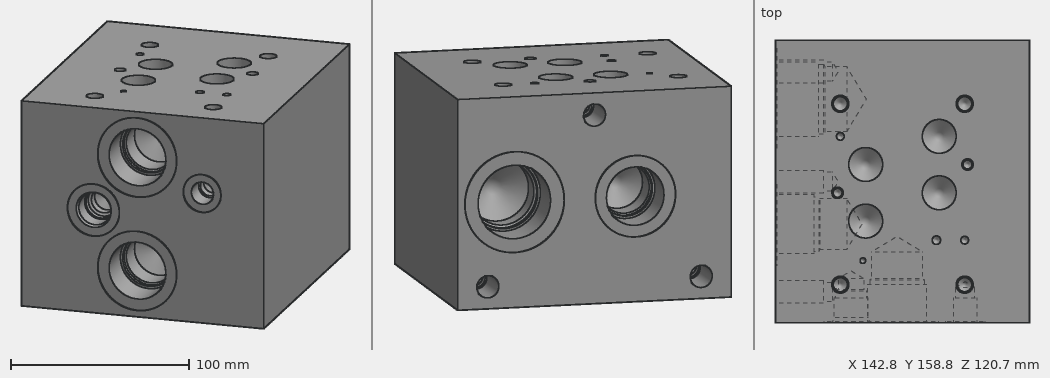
import cadquery as cq
import math

LENGTH_X = 142.85
WIDTH_Y = 158.75
HEIGHT_Z = 120.65
MID_Z = HEIGHT_Z / 2

DRILL_POINT_ANGLE = 118.0
SPOTFACE_DEPTH = 0.8

INTO_FRONT = cq.Vector(0, 1, 0)
INTO_LEFT = cq.Vector(1, 0, 0)
INTO_TOP = cq.Vector(0, 0, -1)

THREAD_LEAD_IN_ANGLE = 36.0
LARGE_PORT = dict(
    spotface=57.66,
    bores=[(42.06, 24.0), (39.29, 27.0, DRILL_POINT_ANGLE), (36.52, 40.0)],
)
MEDIUM_PORT = dict(
    spotface=46.56,
    bores=[(33.4, 21.5), (30.63, 24.3, DRILL_POINT_ANGLE), (28.57, 40.0)],
)
Y_PORT = dict(
    spotface=30.63,
    bores=[
        (20.6, SPOTFACE_DEPTH, THREAD_LEAD_IN_ANGLE),
        (19.05, 14.0),
        (17.5, 18.0, DRILL_POINT_ANGLE),
        (14.3, 25.0),
    ],
)
X_PORT = dict(spotface=22.2, bores=[(13.0, 14.0), (10.72, 20.0)])

AB_X = 68.2
AB_SPACING = 66.68
X_PORT_PLACE = (106.5, 76.1)
Y_PORT_PLACE = (42.4, MID_Z)

T_PORT_Y = 125.7
P_PORT_Y = 55.6
MOUNT_BORES = [(12.7, 27.0), (10.72, 32.0)]
MOUNT_EDGE_Y = 17.5
MOUNT_LOW_Z = 12.7
MOUNT_HIGH_Z = HEIGHT_Z - MOUNT_LOW_Z

BOLT_SPAN_ALONG = 101.6
BOLT_SPAN_ACROSS = 69.85
PATTERN_X = (LENGTH_X + BOLT_SPAN_ACROSS) / 2
PATTERN_Y = 123.0
FLOW_PORTS = [(18.3, 14.3), (50.0, 14.3), (34.1, 55.6), (65.9, 55.6)]
FLOW_BORES = [(19.05, 6.35)]
CORNER_BOLTS = [
    (along, across) for along in (0, BOLT_SPAN_ALONG) for across in (0, BOLT_SPAN_ACROSS)
]
CORNER_BORES = [(9.53, 22.0), (7.92, 27.0)]
MIDDLE_BOLTS = [(34.1, -1.6), (50.0, 71.4)]
MIDDLE_BORES = [(6.35, 16.0), (5.11, 20.0)]
PIN_HOLES = [(76.6, 0), (18.3, BOLT_SPAN_ACROSS)]
PIN_BORES = [(4.34, 10.0)]
X_PILOT = (76.6, 15.9)
X_PILOT_BORES = [(4.76, 1.4)]
Y_PILOT = (88.1, 57.2)
Y_PILOT_BORES = [(3.18, 0.8)]


def revolved_cutter(profile, place, inward):
    """Turn (radius, depth) points, closed by a drill point, into a cutter at a place."""
    end_radius, end_depth = profile[-1]
    tip = end_radius / math.tan(math.radians(DRILL_POINT_ANGLE / 2))
    points = [(0, 0)] + profile + [(0, end_depth + tip)]
    across = cq.Vector(0, 0, 1) if inward.z == 0 else cq.Vector(1, 0, 0)
    plane = cq.Plane(origin=place, xDir=across, normal=across.cross(inward))
    return cq.Workplane(plane).polyline(points).close().revolve(360, (0, 0), (0, 1))


def bored_cutter(place, inward, bores):
    """Coaxial bores narrowing inward, ending in a drill point."""
    profile = []
    start_depth = 0
    outer_radius = 0
    floor_slope = 0
    for diameter, depth, *floor_angle in bores:
        radius = diameter / 2
        if profile:
            start_depth += (outer_radius - radius) * floor_slope
        profile.append((radius, start_depth))
        if depth > start_depth:
            profile.append((radius, depth))
        start_depth = depth
        outer_radius = radius
        floor_slope = 1 / math.tan(math.radians(floor_angle[0] / 2)) if floor_angle else 0
    return revolved_cutter(profile, place, inward)


def port_cutter(place, inward, spotface, bores):
    return bored_cutter(place, inward, [(spotface, SPOTFACE_DEPTH)] + bores)


def on_top(spot):
    along, across = spot
    return (PATTERN_X - across, PATTERN_Y - along, HEIGHT_Z)


def front_cutters():
    cutters = [
        port_cutter((AB_X, 0, MID_Z + side * AB_SPACING / 2), INTO_FRONT, **MEDIUM_PORT)
        for side in (-1, 1)
    ]
    for (x, z), port in ((X_PORT_PLACE, X_PORT), (Y_PORT_PLACE, Y_PORT)):
        cutters.append(port_cutter((x, 0, z), INTO_FRONT, **port))
    return cutters


def left_cutters():
    cutters = [
        port_cutter((0, T_PORT_Y, MID_Z), INTO_LEFT, **LARGE_PORT),
        port_cutter((0, P_PORT_Y, MID_Z), INTO_LEFT, **MEDIUM_PORT),
    ]
    mounts = [
        (MOUNT_EDGE_Y, MOUNT_LOW_Z),
        (WIDTH_Y - MOUNT_EDGE_Y, MOUNT_LOW_Z),
        (WIDTH_Y / 2, MOUNT_HIGH_Z),
    ]
    for y, z in mounts:
        cutters.append(bored_cutter((0, y, z), INTO_LEFT, MOUNT_BORES))
    return cutters


def top_cutters():
    cutters = []
    for spots, bores in (
        (FLOW_PORTS, FLOW_BORES),
        (CORNER_BOLTS, CORNER_BORES),
        (MIDDLE_BOLTS, MIDDLE_BORES),
        (PIN_HOLES, PIN_BORES),
        ([X_PILOT], X_PILOT_BORES),
        ([Y_PILOT], Y_PILOT_BORES),
    ):
        for spot in spots:
            cutters.append(bored_cutter(on_top(spot), INTO_TOP, bores))
    return cutters


block = cq.Workplane("XY").box(LENGTH_X, WIDTH_Y, HEIGHT_Z, centered=False)
for cutter in front_cutters() + left_cutters() + top_cutters():
    block = block.cut(cutter)

result = block